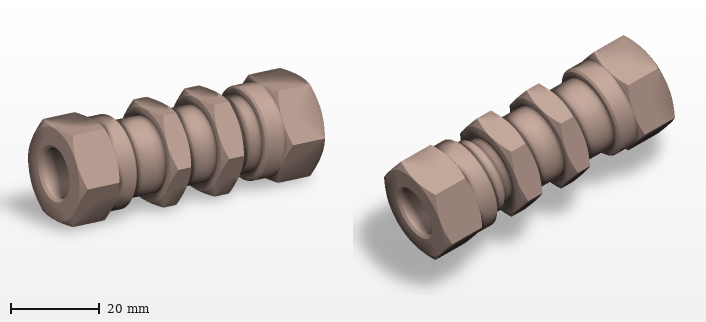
import cadquery as cq
import math


across_flats = 22.0
across_corners = across_flats / math.cos(math.pi / 6)
hex_face_dia = 21.8
hex_chamfer_angle = math.radians(30)
hex_corner_drop = (across_corners - hex_face_dia) / 2 * math.tan(hex_chamfer_angle)

overall_length = 65.02
half_length = overall_length / 2
end_hex_length = 10.5
end_nut_length = 15.5
flange_far_face = 21.5
flange_length = 6.0
lock_nut_far_face = 35.5
lock_nut_length = 5.5

collar_dia = 21.9
collar_chamfer = 0.5
thread_dia = 18.0
neck_dia = 16.0
thread_end_chamfer = (thread_dia - neck_dia) / 2
neck_length = 2.0

bore_dia = 10.0
tube_socket_dia = 12.0
tube_socket_depth = end_nut_length
socket_mouth_dia = 13.2
socket_chamfer = (socket_mouth_dia - tube_socket_dia) / 2
lock_nut_bore_chamfer = 0.25


def cylinder(diameter, y_start, length):
    """Cylinder on the Y axis, running from y_start toward +Y."""
    plane = cq.Plane(origin=(0, y_start, 0), xDir=(1, 0, 0), normal=(0, 1, 0))
    return cq.Workplane(plane).circle(diameter / 2).extrude(length)


def chamfered_hex(y_start, length):
    """Hexagon with corners on the X axis, its corners turned down by a cone at both faces."""
    plane = cq.Plane(origin=(0, y_start, 0), xDir=(1, 0, 0), normal=(0, 1, 0))
    prism = cq.Workplane(plane).polygon(6, across_corners).extrude(length)
    y_end = y_start + length
    face_radius = hex_face_dia / 2
    corner_radius = across_corners / 2
    turned_blank = (
        cq.Workplane("XY")
        .moveTo(0, y_start)
        .lineTo(face_radius, y_start)
        .lineTo(corner_radius, y_start + hex_corner_drop)
        .lineTo(corner_radius, y_end - hex_corner_drop)
        .lineTo(face_radius, y_end)
        .lineTo(0, y_end)
        .close()
        .revolve(360, (0, 0, 0), (0, 1, 0))
    )
    return prism.intersect(turned_blank)


def end_nut():
    """Solid end nut at the -Y end: a hexagon with a round collar on its inner side."""
    hexagon = chamfered_hex(-half_length, end_hex_length)
    collar_start = -half_length + end_hex_length
    collar = cylinder(collar_dia, collar_start, end_nut_length - end_hex_length)
    collar = collar.faces(">Y").chamfer(collar_chamfer)
    return hexagon.union(collar)


def tube_socket():
    """Cutter for the tube socket at the -Y end, with a chamfered mouth."""
    mouth_radius = socket_mouth_dia / 2
    socket_radius = tube_socket_dia / 2
    socket_floor = -half_length + tube_socket_depth
    return (
        cq.Workplane("XY")
        .moveTo(0, -half_length)
        .lineTo(mouth_radius, -half_length)
        .lineTo(socket_radius, -half_length + socket_chamfer)
        .lineTo(socket_radius, socket_floor)
        .lineTo(0, socket_floor)
        .close()
        .revolve(360, (0, 0, 0), (0, 1, 0))
    )


def at_other_end(shape):
    """The same shape mirrored to the +Y end."""
    return shape.mirror("XZ")


def make_union_body():
    flange_start = half_length - flange_far_face - flange_length
    flange_end = half_length - flange_far_face
    neck_end = flange_end + neck_length
    inner_end = half_length - end_nut_length

    long_thread = cylinder(thread_dia, -inner_end, flange_start + inner_end)
    flange = chamfered_hex(flange_start, flange_length)
    neck = cylinder(neck_dia, flange_end, neck_length)
    short_thread = cylinder(thread_dia, neck_end, inner_end - neck_end)
    short_thread = short_thread.faces("<Y").chamfer(thread_end_chamfer)

    body = long_thread.union(flange).union(neck).union(short_thread)
    body = body.union(end_nut()).union(at_other_end(end_nut()))
    body = body.cut(cylinder(bore_dia, -half_length, overall_length))
    return body.cut(tube_socket()).cut(at_other_end(tube_socket()))


def make_lock_nut():
    nut_start = half_length - lock_nut_far_face - lock_nut_length
    nut = chamfered_hex(nut_start, lock_nut_length)
    nut = nut.cut(cylinder(thread_dia, nut_start, lock_nut_length))
    bore_edges = cq.selectors.RadiusNthSelector(0)
    return nut.faces("<Y or >Y").edges(bore_edges).chamfer(lock_nut_bore_chamfer)


union_body = make_union_body()
lock_nut = make_lock_nut()

result = cq.Compound.makeCompound([union_body.val(), lock_nut.val()])